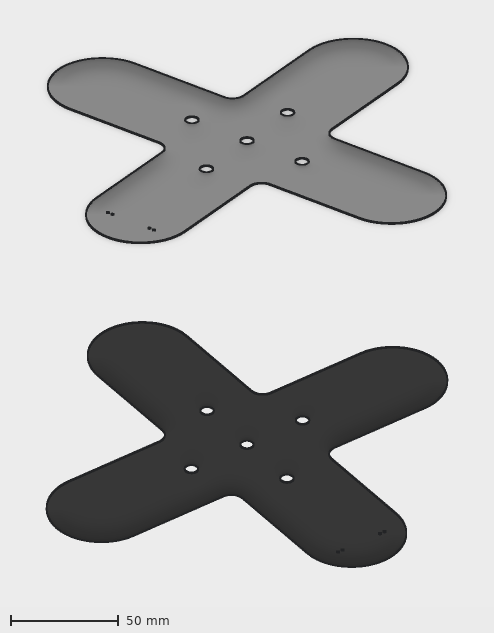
import cadquery as cq

span_x = 217.0
span_y = 216.7
thickness = 0.6
arm_width = 50.8
inner_corner_radius = 6.5

mounting_hole_diameter = 6.3
mounting_hole_offset = 31.7

tiny_hole_diameter = 1.2
tiny_hole_spacing = 2.5
tiny_pair_offset_x = 12.0
tiny_pair_y = -90.7


def make_cross():
    """Flat cross with round arm ends and filleted inner corners."""
    arm_x = cq.Workplane("XY").slot2D(span_x, arm_width).extrude(thickness)
    arm_y = cq.Workplane("XY").slot2D(span_y, arm_width, 90).extrude(thickness)
    corner_box_size = arm_width + 2 * inner_corner_radius
    inner_corners = cq.selectors.BoxSelector(
        (-corner_box_size / 2, -corner_box_size / 2, -thickness),
        (corner_box_size / 2, corner_box_size / 2, 2 * thickness),
    )
    return arm_x.union(arm_y).edges("|Z").edges(inner_corners).fillet(inner_corner_radius)


def make_holes(points, diameter):
    """Cutting cylinders through the full plate thickness."""
    return cq.Workplane("XY").pushPoints(points).circle(diameter / 2).extrude(thickness)


mounting_points = [
    (0, 0),
    (mounting_hole_offset, 0),
    (-mounting_hole_offset, 0),
    (0, mounting_hole_offset),
    (0, -mounting_hole_offset),
]

tiny_points = [
    (pair_x + side * tiny_hole_spacing / 2, tiny_pair_y)
    for pair_x in (-tiny_pair_offset_x, tiny_pair_offset_x)
    for side in (-1, 1)
]

result = (
    make_cross()
    .cut(make_holes(mounting_points, mounting_hole_diameter))
    .cut(make_holes(tiny_points, tiny_hole_diameter))
)